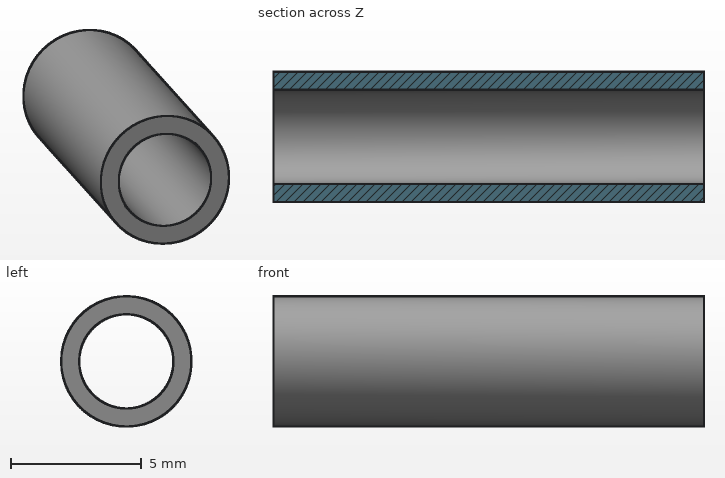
import cadquery as cq

length = 16.5
outer_diameter = 5.0
inner_diameter = 3.6


def make_tube():
    """Extrude the ring-shaped cross-section along X, starting at X = 0."""
    ring = cq.Workplane("YZ").circle(outer_diameter / 2).circle(inner_diameter / 2)
    return ring.extrude(length)


result = make_tube()